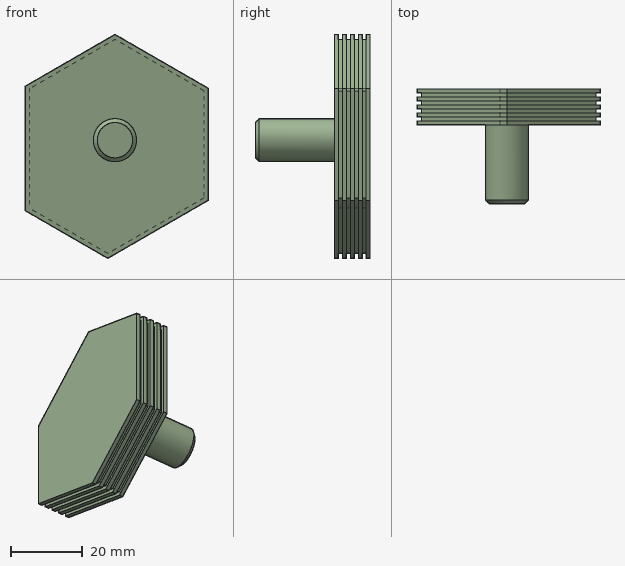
import cadquery as cq
import math

FLAT_DISTANCES = {0: 26.0, 60: 25.5, 120: 25.5, 180: 25.0, 240: 29.5, 300: 27.5}
PLATE_THICKNESS = 10.0

GROOVE_COUNT = 4
GROOVE_DEPTH = 1.2
RIB_COUNT = GROOVE_COUNT + 1
LAYER_THICKNESS = PLATE_THICKNESS / (RIB_COUNT + GROOVE_COUNT)

PIN_DIAMETER = 12.0
PIN_LENGTH = 22.0
PIN_CHAMFER = 1.08


def corner(angle_a, distance_a, angle_b, distance_b):
    """Intersection (x, z) of two flats given by normal angle and distance."""
    a = math.radians(angle_a)
    b = math.radians(angle_b)
    spread = math.sin(b - a)
    x = (distance_a * math.sin(b) - distance_b * math.sin(a)) / spread
    z = (distance_b * math.cos(a) - distance_a * math.cos(b)) / spread
    return x, z


def hexagon_layer(inset, y_start, thickness):
    """Hexagonal slab with every flat moved inwards by inset."""
    flats = [(angle, distance - inset) for angle, distance in FLAT_DISTANCES.items()]
    next_flats = flats[1:] + flats[:1]
    corners = [corner(*flat, *following) for flat, following in zip(flats, next_flats)]
    profile = cq.Workplane("XZ").workplane(offset=-y_start).polyline(corners).close()
    return profile.extrude(-thickness)


def grooved_plate():
    """Core at groove depth, with full-size ribs stacked along Y."""
    plate = hexagon_layer(GROOVE_DEPTH, 0, PLATE_THICKNESS)
    for index in range(RIB_COUNT):
        rib_start = 2 * index * LAYER_THICKNESS
        plate = plate.union(hexagon_layer(0, rib_start, LAYER_THICKNESS))
    return plate


def pin():
    """Round pin pointing to -Y with a chamfered free end."""
    shaft = cq.Workplane("XZ").circle(PIN_DIAMETER / 2).extrude(PIN_LENGTH)
    return shaft.faces("<Y").chamfer(PIN_CHAMFER)


result = grooved_plate().union(pin())